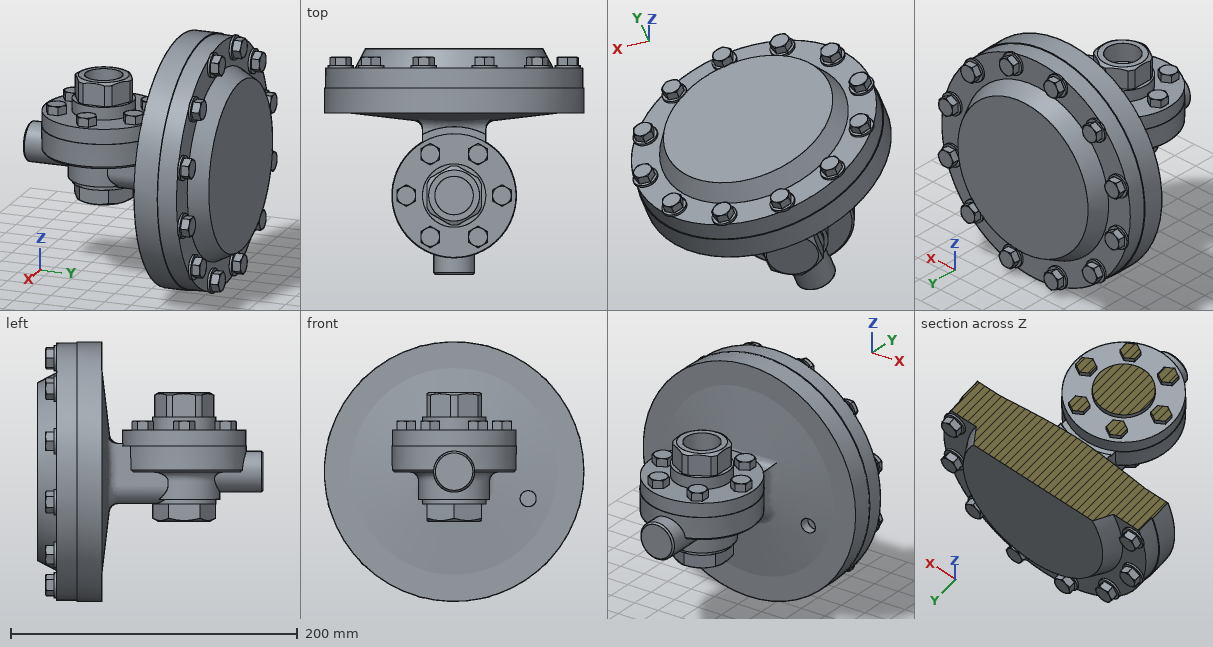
import cadquery as cq
import math


flange_radius = 90.5
flange_thickness = 17.4
cover_thickness = 14.1
cover_joint_radius = 89.8
cover_rim_radius = 89.6
dome_base_radius = 69.0
dome_top_radius = 62.0
dome_top = 27.5
cone_base_radius = 72.0
cone_tip_radius = 18.1
cone_height = 6.3
vent_radius = 5.6
vent_x = 51.6
vent_z = -18.8
vent_depth = 5.5

cover_bolt_count = 12
cover_bolt_circle_radius = 81.9
cover_bolt_start_angle = 15.0
cover_bolt_head_turn = 15.0
washer_radius = 8.9
washer_thickness = 1.6
cover_bolt_height = 7.6

bolt_apothem = 6.5
bolt_chamfer_drop = 0.5

valve_y = -74.8
valve_bottom = -0.4
valve_joint = 18.0
bonnet_top = 29.0
valve_joint_radius = 43.5
valve_bottom_radius = 43.1
valve_bottom_chamfer = 1.6
bonnet_radius = 43.1
throat_radius = 24.8
throat_bottom = -19.4
throat_flare = 6.0
collar_radius = 22.1
lower_collar_bottom = -22.6
upper_collar_top = 38.2

hex_apothem = 19.0
lower_hex_bottom = -34.5
lower_hex_face_radius = 18.1
lower_hex_chamfer_drop = 2.2
upper_hex_top = 55.0
upper_hex_corner_radius = 20.6
upper_hex_face_radius = 17.7
upper_hex_chamfer_drop = 1.6
bore_radius = 13.4
bore_depth = 14.9

valve_bolt_count = 6
valve_bolt_circle_radius = 33.3
valve_bolt_height = 6.3

outlet_radius = 14.3
outlet_end = -129.8
outlet_chamfer = 1.3

neck_half_width = 22.1
neck_top = 19.7
neck_bottom = -22.3
neck_corner_radius = 12.5
neck_root_fillet = 6.2
bonnet_clearance_radius = 48.0


def revolve_y(points):
    """Turn an outline of (radius, y) points about the Y axis."""
    return cq.Workplane("XY").polyline(points).close().revolve(360, (0, 0, 0), (0, 1, 0))


def upright_cylinder(radius, bottom, top):
    """Cylinder along Z, centred on the local axis."""
    return cq.Workplane("XY").workplane(offset=bottom).circle(radius).extrude(top - bottom)


def hexagon_corner_radius(apothem):
    """Distance from the centre of a hexagon to its corners."""
    return apothem / math.cos(math.pi / 6)


def hexagon(apothem, height):
    """Hexagonal prism from Z = 0 with two corners on the Y axis."""
    corner_diameter = 2 * hexagon_corner_radius(apothem)
    prism = cq.Workplane("XY").polygon(6, corner_diameter).extrude(height)
    return prism.rotate((0, 0, 0), (0, 0, 1), 30)


def chamfered_hexagon(apothem, height, face_radius, corner_radius, chamfer_drop):
    """Hexagonal prism from Z = 0 whose upper corners are turned down to a round face."""
    envelope = (
        cq.Workplane("XZ")
        .polyline([
            (0, 0),
            (corner_radius, 0),
            (corner_radius, height - chamfer_drop),
            (face_radius, height),
            (0, height),
        ])
        .close()
        .revolve(360, (0, 0, 0), (0, 1, 0))
    )
    return hexagon(apothem, height).intersect(envelope)


def bolt_head(height):
    """Bolt head standing on Z = 0."""
    corner_radius = hexagon_corner_radius(bolt_apothem)
    return chamfered_hexagon(bolt_apothem, height, bolt_apothem, corner_radius, bolt_chamfer_drop)


def make_housing():
    return revolve_y([
        (0, dome_top),
        (dome_top_radius, dome_top),
        (dome_base_radius, cover_thickness),
        (cover_rim_radius, cover_thickness),
        (cover_joint_radius, 0),
        (flange_radius, 0),
        (flange_radius, -flange_thickness),
        (cone_base_radius, -flange_thickness),
        (cone_tip_radius, -flange_thickness - cone_height),
        (0, -flange_thickness - cone_height),
    ])


def make_neck():
    """Block with rounded lower corners, running from inside the housing to the valve axis."""
    return (
        cq.Workplane("XZ")
        .center(0, (neck_top + neck_bottom) / 2)
        .rect(2 * neck_half_width, neck_top - neck_bottom)
        .extrude(-valve_y)
        .edges("|Y and <Z")
        .fillet(neck_corner_radius)
    )


def fillet_neck_root(body):
    """Blend the neck into the sloping front of the housing."""
    margin = 0.2
    root_zone = cq.selectors.BoxSelector(
        (-neck_half_width - margin, -flange_thickness - cone_height - margin, neck_bottom - margin),
        (neck_half_width + margin, -flange_thickness - margin, neck_top + margin),
        boundingbox=True,
    )
    return body.edges(root_zone).fillet(neck_root_fillet)


def make_cover_bolts():
    head = upright_cylinder(washer_radius, 0, washer_thickness).union(bolt_head(cover_bolt_height))
    head = head.rotate((0, 0, 0), (0, 0, 1), cover_bolt_head_turn)
    head = head.rotate((0, 0, 0), (1, 0, 0), -90)
    head = head.translate((cover_bolt_circle_radius, cover_thickness, 0))
    bolts = cq.Workplane("XY")
    for index in range(cover_bolt_count):
        angle = cover_bolt_start_angle + index * 360 / cover_bolt_count
        bolts = bolts.add(head.rotate((0, 0, 0), (0, 1, 0), angle))
    return bolts.combine()


def make_valve_body():
    """Turned body, built around the local Z axis."""
    return (
        cq.Workplane("XZ")
        .moveTo(0, lower_collar_bottom)
        .lineTo(collar_radius, lower_collar_bottom)
        .lineTo(collar_radius, throat_bottom)
        .lineTo(throat_radius, throat_bottom)
        .lineTo(throat_radius, valve_bottom - throat_flare)
        .radiusArc((throat_radius + throat_flare, valve_bottom), throat_flare)
        .lineTo(valve_bottom_radius - valve_bottom_chamfer, valve_bottom)
        .lineTo(valve_bottom_radius, valve_bottom + valve_bottom_chamfer)
        .lineTo(valve_joint_radius, valve_joint)
        .lineTo(bonnet_radius, valve_joint)
        .lineTo(bonnet_radius, bonnet_top)
        .lineTo(collar_radius, bonnet_top)
        .lineTo(collar_radius, upper_collar_top)
        .lineTo(0, upper_collar_top)
        .close()
        .revolve(360, (0, 0, 0), (0, 1, 0))
    )


def make_upper_hexagon():
    return chamfered_hexagon(
        hex_apothem,
        upper_hex_top - upper_collar_top,
        upper_hex_face_radius,
        upper_hex_corner_radius,
        upper_hex_chamfer_drop,
    ).translate((0, 0, upper_collar_top))


def make_lower_hexagon():
    head = chamfered_hexagon(
        hex_apothem,
        lower_collar_bottom - lower_hex_bottom,
        lower_hex_face_radius,
        hexagon_corner_radius(hex_apothem),
        lower_hex_chamfer_drop,
    )
    return head.rotate((0, 0, 0), (1, 0, 0), 180).translate((0, 0, lower_collar_bottom))


def make_valve():
    valve = make_valve_body().union(make_upper_hexagon()).union(make_lower_hexagon())
    head = bolt_head(valve_bolt_height).translate((valve_bolt_circle_radius, 0, bonnet_top))
    for index in range(valve_bolt_count):
        angle = index * 360 / valve_bolt_count
        valve = valve.union(head.rotate((0, 0, 0), (0, 0, 1), angle))
    bore = upright_cylinder(bore_radius, upper_hex_top - bore_depth, upper_hex_top)
    return valve.cut(bore).translate((0, valve_y, 0))


def make_outlet():
    """Round stub running from the valve axis toward -Y."""
    return (
        cq.Workplane("XZ", origin=(0, valve_y, 0))
        .circle(outlet_radius)
        .extrude(valve_y - outlet_end)
        .faces("<Y")
        .chamfer(outlet_chamfer)
    )


bonnet_clearance = upright_cylinder(bonnet_clearance_radius, valve_joint, bonnet_top)
bonnet_clearance = bonnet_clearance.translate((0, valve_y, 0))

vent = (
    cq.Workplane("XZ", origin=(vent_x, -flange_thickness + vent_depth, vent_z))
    .circle(vent_radius)
    .extrude(vent_depth + cone_height)
)

result = fillet_neck_root(make_housing().union(make_neck()))
result = result.cut(bonnet_clearance).union(make_valve()).union(make_outlet())
result = result.union(make_cover_bolts()).cut(vent)